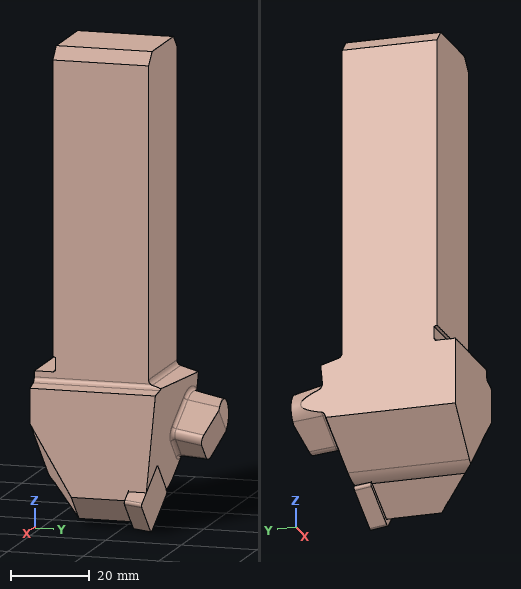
import cadquery as cq
import math


total_length = 124.5
overall_width = 31.75
shank_side = 25.4
shank_chamfer = 3.1

ledge_depth = 4.9
ledge_z = 40.5
relief_depth = 0.75
relief_top_z = 44.55
relief_runout = 0.3
relief_fillet = 0.75

head_width = 29.25
shoulder_slope = math.radians(16)
shoulder_fillet = 1.4
right_shoulder_z = 37.85
back_shoulder_z = 38.9
back_stock_y = 42.0

flank_sum = 23.05
seat_sum = 24.45
nose_difference = 20.15
flank_end_x = 11.35
seat_start_x = 15.0

bevel_difference = 1.65
bevel_angle = math.radians(40)

insert_side = 12.7
insert_thickness = 4.76
insert_nose_radius = 0.8
tip_y = shank_side
tilt = math.radians(7.6)

clamp_base_x = 4.46
clamp_base_z = 27.8
clamp_base_radius = 5.6
clamp_length = 10.95
clamp_draft = math.radians(5)
clamp_corner_radius = 2.0
clamp_base_fillet = 1.0
clamp_top_y = 39.22
clamp_slope_difference = -20.2
clamp_slope = math.radians(16.5)

block_size = 300.0


diagonal = insert_side * math.sqrt(2)
nose_loss = insert_nose_radius * (math.sqrt(2) - 1)
tip_sum = overall_width - diagonal / 2
tip_difference = tip_sum + 2 * nose_loss
tip_x = (tip_sum + tip_difference) / 2
tip_z = (tip_sum - tip_difference) / 2


def diagonal_plane(origin, angle):
    """Plane facing +Y, tipped by angle toward +X and -Z.

    Its local x runs up and to the right at 45 degrees, its local y down and to the right.
    """
    sideways = math.sin(angle) / math.sqrt(2)
    return cq.Plane(origin=origin, xDir=(1, 0, 1), normal=(sideways, math.cos(angle), -sideways))


back_plane = diagonal_plane((tip_x, tip_y, tip_z), tilt)


def half_space(plane, side=1):
    """A block that fills the positive (side = 1) or negative (side = -1) side of a plane."""
    return cq.Workplane(plane).rect(block_size, block_size).extrude(side * block_size)


def nearest_to(x, y, z):
    return cq.selectors.NearestToPointSelector((x, y, z))


def make_front_outline():
    """Prism of the holder's outline in X and Z."""
    shoulder_end_z = right_shoulder_z - (head_width - shank_side) * math.tan(shoulder_slope)
    nose_x = (seat_sum + nose_difference) / 2
    prism = (
        cq.Workplane("XZ", origin=(0, -ledge_depth, 0))
        .moveTo(0, total_length - shank_chamfer)
        .lineTo(0, flank_sum)
        .lineTo(flank_end_x, flank_sum - flank_end_x)
        .tangentArcPoint((seat_start_x, seat_sum - seat_start_x), relative=False)
        .lineTo(nose_x, nose_x - nose_difference)
        .lineTo(head_width, head_width - nose_difference)
        .lineTo(head_width, shoulder_end_z)
        .lineTo(shank_side, right_shoulder_z)
        .lineTo(shank_side, total_length - shank_chamfer)
        .lineTo(shank_side - shank_chamfer, total_length)
        .lineTo(shank_chamfer, total_length)
        .close()
        .extrude(-(back_stock_y + ledge_depth))
    )
    shoulder_corner = nearest_to(shank_side, (back_stock_y - ledge_depth) / 2, right_shoulder_z)
    return prism.edges(shoulder_corner).fillet(shoulder_fillet)


def make_side_outline():
    """Prism of the holder's outline in Y and Z."""
    shoulder_end_z = back_shoulder_z - (back_stock_y - shank_side) * math.tan(shoulder_slope)
    prism = (
        cq.Workplane("YZ")
        .moveTo(-ledge_depth, 0)
        .lineTo(-ledge_depth, ledge_z)
        .lineTo(relief_depth, ledge_z)
        .lineTo(relief_depth, relief_top_z - relief_runout)
        .lineTo(0, relief_top_z)
        .lineTo(0, total_length)
        .lineTo(shank_side, total_length)
        .lineTo(shank_side, back_shoulder_z)
        .lineTo(back_stock_y, shoulder_end_z)
        .lineTo(back_stock_y, 0)
        .close()
        .extrude(head_width)
    )
    relief_corner = nearest_to(head_width / 2, relief_depth, ledge_z)
    shoulder_corner = nearest_to(head_width / 2, shank_side, back_shoulder_z)
    prism = prism.edges(relief_corner).fillet(relief_fillet)
    return prism.edges(shoulder_corner).fillet(shoulder_fillet)


def make_bevel():
    """Block that cuts away the front of the lower head."""
    bevel_plane = diagonal_plane((bevel_difference, -ledge_depth, 0), -bevel_angle)
    return half_space(bevel_plane, side=-1)


def clamp_plane():
    """Plane of the head's back, with its origin on the clamp axis."""
    distance_from_tip = (tip_difference - (clamp_base_x - clamp_base_z)) / math.sqrt(2)
    base_y = tip_y + distance_from_tip * math.tan(tilt)
    return diagonal_plane((clamp_base_x, base_y, clamp_base_z), tilt)


def make_clamp():
    """Drafted clamp: upper left end round, lower right end square with rounded corners."""
    base = clamp_plane()
    height = 2 * (clamp_top_y - base.origin.y)
    uncut_length = clamp_length + height
    clamp = (
        cq.Workplane(base)
        .moveTo(-clamp_base_radius, 0)
        .threePointArc((0, -clamp_base_radius), (clamp_base_radius, 0))
        .lineTo(clamp_base_radius, uncut_length)
        .lineTo(-clamp_base_radius, uncut_length)
        .close()
        .extrude(height, taper=math.degrees(clamp_draft))
    )
    end_point = base.toWorldCoords((0, clamp_length, 0))
    end_plane = cq.Plane(origin=end_point, xDir=base.xDir, normal=base.yDir)
    clamp = clamp.cut(half_space(end_plane))
    half_height = height / 2
    corner_x = clamp_base_radius - half_height * math.tan(clamp_draft)
    for side in (-1, 1):
        corner = base.toWorldCoords((side * corner_x, clamp_length, half_height))
        clamp = clamp.edges(nearest_to(*corner.toTuple())).fillet(clamp_corner_radius)

    sloped_top = diagonal_plane((clamp_slope_difference, clamp_top_y, 0), clamp_slope)
    flat_top = diagonal_plane((0, clamp_top_y, 0), 0)
    return clamp.cut(half_space(sloped_top)).cut(half_space(flat_top))


def make_insert_block(height):
    """Square prism with rounded corners, standing on the floor of the insert's pocket."""
    return (
        cq.Workplane(back_plane)
        .workplane(offset=-insert_thickness)
        .center(insert_side / 2, -insert_side / 2)
        .rect(insert_side, insert_side)
        .extrude(height)
        .edges(cq.selectors.ParallelDirSelector(back_plane.zDir))
        .fillet(insert_nose_radius)
    )


def make_holder():
    stock = half_space(back_plane, side=-1).union(make_clamp())
    back_faces = stock.faces(cq.selectors.ParallelDirSelector(back_plane.zDir)).vals()
    clamp_foot = [edge for face in back_faces for wire in face.innerWires() for edge in wire.Edges()]
    stock = stock.newObject(clamp_foot).fillet(clamp_base_fillet)
    holder = stock.intersect(make_front_outline()).intersect(make_side_outline())
    pocket = make_insert_block(2 * insert_thickness)
    return holder.cut(make_bevel()).cut(pocket)


holder = make_holder()
insert = make_insert_block(insert_thickness)

result = cq.Compound.makeCompound([holder.val(), insert.val()])